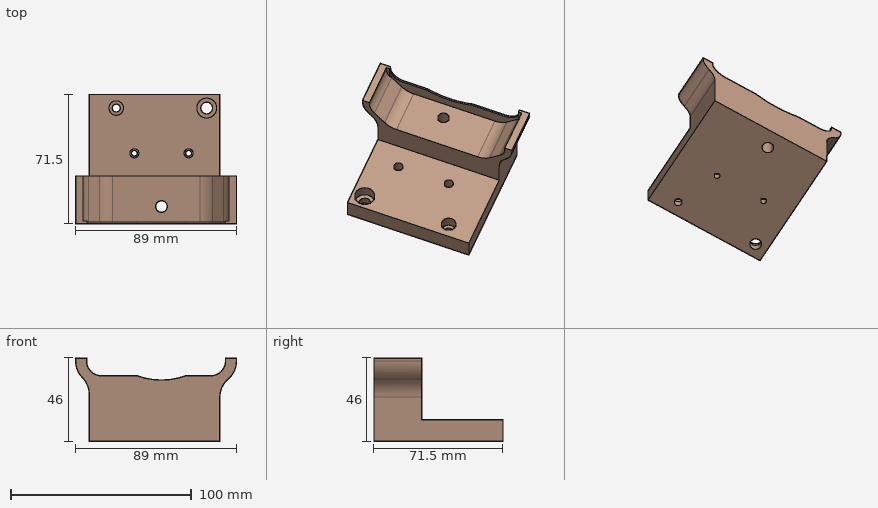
import cadquery as cq
import math

base_left = -40.0
base_right = 32.3
base_thickness = 12.0
part_depth = 71.5

cradle_width = 89.0
cradle_depth = 26.5
cradle_left = -47.5
cradle_right = cradle_left + cradle_width
cradle_mid = (cradle_left + cradle_right) / 2
cradle_height = 46.0
arm_bend_z = 44.3
flank_bend_radius = 13.0
flank_flare_radius = 13.0

lip_floor_z = 36.3
lip_arm_width = 6.2
lip_bend_radius = arm_bend_z - lip_floor_z
dip_half_width = 13.5
dip_depth = 2.4
lip_thickness = 1.0
arm_web_thickness = 1.5

trough_floor_z = 28.2
trough_wall = 4.2
trough_bend_radius = 10.0
trough_slope = math.radians(45)

rear_row_y = part_depth - 7.5
middle_row_y = rear_row_y - 25.0
rear_hole_x = 25.0
middle_hole_x = 15.0
counterbore_depth = 7.0
counterbored_holes = [
    (-rear_hole_x, rear_row_y, 4.3, 8.0),
    (rear_hole_x, rear_row_y, 6.4, 11.0),
    (-middle_hole_x, middle_row_y, 3.1, 5.0),
    (middle_hole_x, middle_row_y, 3.1, 5.0),
]
trough_hole_y = 9.6
trough_hole_diameter = 6.3


def point_on_circle(centre, radius, angle):
    """Point at an angle in radians, measured from +X towards +Z."""
    return (centre[0] + radius * math.cos(angle), centre[1] + radius * math.sin(angle))


def mirrored(point):
    """Mirror an (x, z) point about the middle of the cradle."""
    return (2 * cradle_mid - point[0], point[1])


def extrude_back(outline, front_y, back_y):
    """Extrude a closed XZ outline from front_y to back_y."""
    return outline.extrude(front_y - back_y).translate((0, front_y, 0))


def flank_points(overhang):
    """S-curve from arm to base, as (outward reach, z) with zero reach at the base side.

    Returns bend start, bend middle, joint, flare middle and flare end.
    """
    turn = math.acos(1 - overhang / (flank_bend_radius + flank_flare_radius))
    drop = (flank_bend_radius + flank_flare_radius) * math.sin(turn)
    bend_centre = (overhang - flank_bend_radius, arm_bend_z)
    flare_centre = (flank_flare_radius, arm_bend_z - drop)
    return [
        (overhang, arm_bend_z),
        point_on_circle(bend_centre, flank_bend_radius, -turn / 2),
        point_on_circle(bend_centre, flank_bend_radius, -turn),
        point_on_circle(flare_centre, flank_flare_radius, math.pi - turn / 2),
        (0, flare_centre[1]),
    ]


def make_cradle():
    """Cradle body with the lip outline carried through its full depth."""
    left = [(base_left - reach, z) for reach, z in flank_points(base_left - cradle_left)]
    right = [(base_right + reach, z) for reach, z in flank_points(cradle_right - base_right)]

    arm_inside = cradle_left + lip_arm_width
    lip_centre = (arm_inside + lip_bend_radius, arm_bend_z)
    lip_start = (arm_inside, arm_bend_z)
    lip_middle = point_on_circle(lip_centre, lip_bend_radius, math.radians(225))
    lip_end = (lip_centre[0], lip_floor_z)

    outline = (
        cq.Workplane("XZ")
        .moveTo(base_left, 0)
        .lineTo(*left[4])
        .threePointArc(left[3], left[2])
        .threePointArc(left[1], left[0])
        .lineTo(cradle_left, cradle_height)
        .lineTo(arm_inside, cradle_height)
        .lineTo(*lip_start)
        .threePointArc(lip_middle, lip_end)
        .lineTo(-dip_half_width, lip_floor_z)
        .threePointArc((0, lip_floor_z - dip_depth), (dip_half_width, lip_floor_z))
        .lineTo(*mirrored(lip_end))
        .threePointArc(mirrored(lip_middle), mirrored(lip_start))
        .lineTo(*mirrored((arm_inside, cradle_height)))
        .lineTo(cradle_right, cradle_height)
        .lineTo(*right[0])
        .threePointArc(right[1], right[2])
        .threePointArc(right[3], right[4])
        .lineTo(base_right, 0)
        .close()
    )
    return extrude_back(outline, 0, cradle_depth)


def make_trough():
    """Cutter for the trough; above the slopes its arm hollows stop at the arm web."""
    wall_x = cradle_left + trough_wall
    bend_centre = (wall_x + trough_bend_radius, arm_bend_z)
    bend_start = (wall_x, arm_bend_z)
    bend_middle = point_on_circle(bend_centre, trough_bend_radius, math.pi + trough_slope / 2)
    bend_end = point_on_circle(bend_centre, trough_bend_radius, math.pi + trough_slope)

    foot_rise = trough_bend_radius * (1 - math.cos(trough_slope))
    slope_drop = bend_end[1] - trough_floor_z - foot_rise
    foot_start = (bend_end[0] + slope_drop / math.tan(trough_slope), trough_floor_z + foot_rise)
    foot_centre = (
        foot_start[0] + trough_bend_radius * math.sin(trough_slope),
        trough_floor_z + trough_bend_radius,
    )
    foot_middle = point_on_circle(foot_centre, trough_bend_radius, -math.pi / 2 - trough_slope / 2)
    foot_end = (foot_centre[0], trough_floor_z)

    outline = (
        cq.Workplane("XZ")
        .moveTo(wall_x, cradle_height)
        .lineTo(*bend_start)
        .threePointArc(bend_middle, bend_end)
        .lineTo(*foot_start)
        .threePointArc(foot_middle, foot_end)
        .lineTo(*mirrored(foot_end))
        .threePointArc(mirrored(foot_middle), mirrored(foot_start))
        .lineTo(*mirrored(bend_end))
        .threePointArc(mirrored(bend_middle), mirrored(bend_start))
        .lineTo(*mirrored((wall_x, cradle_height)))
        .close()
    )
    trough = extrude_back(outline, lip_thickness, cradle_depth)

    web_depth = arm_web_thickness - lip_thickness
    for web_left in (cradle_left, cradle_right - lip_arm_width):
        web = cq.Workplane("XY").box(lip_arm_width, web_depth, cradle_height, centered=False)
        trough = trough.cut(web.translate((web_left, lip_thickness, 0)))
    return trough


def make_base():
    base_width = base_right - base_left
    block = cq.Workplane("XY").box(base_width, part_depth, base_thickness, centered=False)
    return block.translate((base_left, 0, 0))


def drill_base_holes(body):
    for x, y, through_diameter, counterbore_diameter in counterbored_holes:
        hole_plane = cq.Workplane("XY", origin=(x, y, base_thickness))
        body = body.copyWorkplane(hole_plane).cboreHole(
            through_diameter, counterbore_diameter, counterbore_depth
        )
    return body


def drill_trough_hole(body):
    drill = cq.Workplane("XY").center(0, trough_hole_y).circle(trough_hole_diameter / 2)
    return body.cut(drill.extrude(cradle_height))


cradle = make_cradle().cut(make_trough())
body = make_base().union(cradle)
body = drill_base_holes(body)
result = drill_trough_hole(body)